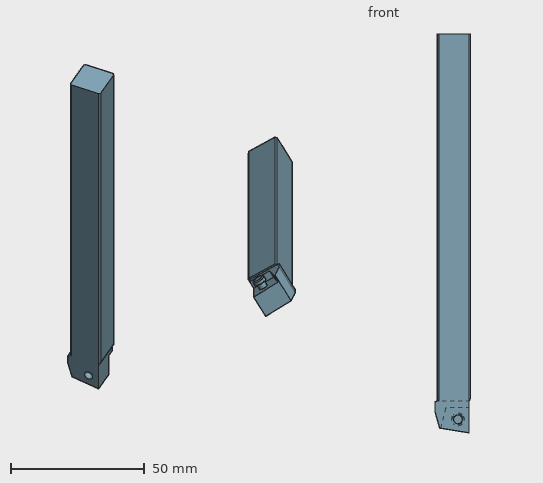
import cadquery as cq

length = 149.4
shank_size = 12.5
edge_chamfer = 0.6

nose_overhang = 0.9
shank_left = nose_overhang
shank_right = shank_left + shank_size
head_right = shank_right - edge_chamfer
nose_low_z = 8.0
nose_high_z = 11.6
step_z = 12.4
right_step_low_z = 12.0
right_step_high_z = 13.0
tip_x = 1.8
tip_z = 1.8
head_relief = 0.6
head_back = shank_size - head_relief

seat_depth = 3.0
seat_floor = head_back - seat_depth
seat_wall = 0.5
seat_top_x = 4.2
seat_top_z = 9.5

screw_x = 8.7
screw_z = 5.1
screw_diameter = 3.3
screw_start = 3.0
screw_end = 13.0
screw_head_diameter = 4.8
screw_head_height = 1.8
screw_head_chamfer = 0.5


def prism(points, start_y, end_y):
    """Extrude an XZ outline from start_y to end_y."""
    plane = cq.Plane(origin=(0, start_y, 0), xDir=(1, 0, 0), normal=(0, -1, 0))
    return cq.Workplane(plane).polyline(points).close().extrude(start_y - end_y)


def cylinder(diameter, start_y, end_y):
    """Cylinder on the screw axis from start_y to end_y."""
    plane = cq.Plane(origin=(screw_x, end_y, screw_z), xDir=(1, 0, 0), normal=(0, -1, 0))
    return cq.Workplane(plane).circle(diameter / 2).extrude(end_y - start_y)


def make_shank():
    """Square bar with chamfered long edges, above the head."""
    shank_length = length - right_step_low_z
    shank = (
        cq.Workplane("XY")
        .box(shank_size, shank_size, shank_length, centered=False)
        .edges("|Z")
        .chamfer(edge_chamfer)
        .translate((shank_left, 0, right_step_low_z))
    )
    corner_ramp = prism(
        [
            (head_right, right_step_low_z),
            (shank_right, right_step_low_z),
            (shank_right, right_step_high_z),
        ],
        0,
        shank_size,
    )
    return shank.cut(corner_ramp)


def make_head():
    """Angled nose with a relieved back face."""
    outline = [
        (head_right, 0),
        (tip_x, tip_z),
        (0, nose_low_z),
        (0, nose_high_z),
        (shank_left + edge_chamfer, step_z),
        (head_right, step_z),
    ]
    return prism(outline, 0, head_back)


def make_seat():
    """Wedge-sided pocket for the cutting insert."""
    outline = [
        (tip_x + seat_wall, tip_z),
        (seat_top_x, seat_top_z),
        (shank_right, seat_top_z),
        (shank_right, 0),
        (tip_x + seat_wall, 0),
    ]
    return prism(outline, seat_floor, head_back)


def make_holder():
    screw_hole = cylinder(screw_diameter, 0, seat_floor)
    return make_shank().union(make_head()).cut(make_seat()).cut(screw_hole)


def make_screw():
    """Screw held in the hole, with a chamfered head above the seat."""
    head_start = screw_end - screw_head_height
    stem = cylinder(screw_diameter, screw_start, head_start)
    head = cylinder(screw_head_diameter, head_start, screw_end)
    return stem.union(head.faces(">Y").chamfer(screw_head_chamfer))


holder = make_holder()
screw = make_screw()
result = cq.Compound.makeCompound([holder.val(), screw.val()])